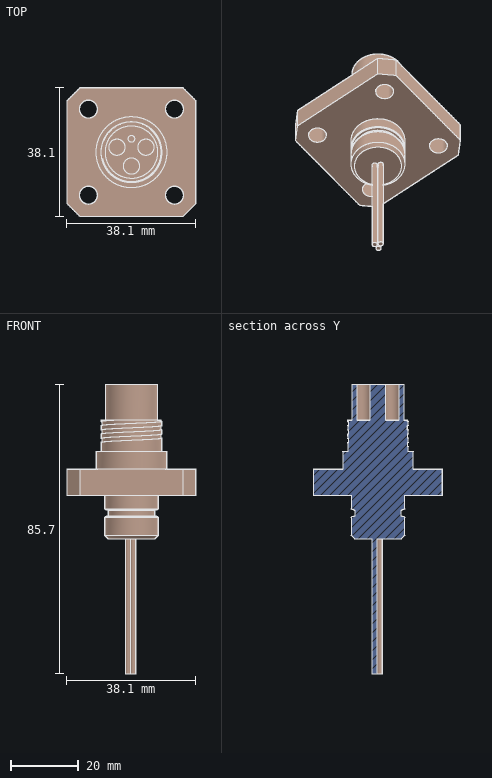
import cadquery as cq
import math

TOTAL_HEIGHT = 85.7
BARREL_BOTTOM = 75.1
THREAD_BOTTOM = 65.8
FLANGE_TOP = 60.6
FLANGE_BOTTOM = 52.8
SEAL_GROOVE_TOP = 48.4
SEAL_GROOVE_BOTTOM = 46.8
BODY_BOTTOM = 39.9

BARREL_DIAMETER = 15.5
THREAD_DIAMETER = 18.0
COLLAR_DIAMETER = 21.0
REAR_DIAMETER = 15.9
SEAL_GROOVE_DIAMETER = 13.9
REAR_CHAMFER = (REAR_DIAMETER - SEAL_GROOVE_DIAMETER) / 2
SEAL_LIP_DIAMETER = 15.5
SEAL_LIP_HEIGHT = 0.21
SEAL_WALL_TAPER = 0.21

FLANGE_SIZE = 38.1
FLANGE_CORNER_CUT = 3.85
MOUNT_HOLE_DIAMETER = 5.2
MOUNT_HOLE_SPACING = 25.45

THREAD_PITCH = 2.5
THREAD_TURNS = 3.2
THREAD_START = 67.9
THREAD_DEPTH = 0.25
THREAD_GROOVE_WIDTH = 1.2

CONTACT_HOLE_DIAMETER = 4.8
CONTACT_SIDE_X = 4.3
CONTACT_SIDE_Y = 1.45
CONTACT_LOWER_Y = -4.1
KEY_HOLE_DIAMETER = 2.0
KEY_HOLE_Y = 3.9
FACE_HOLE_DEPTH = TOTAL_HEIGHT - BARREL_BOTTOM

WIRE_DIAMETER = 1.5
WIRE_COUNT = 3
WIRE_CIRCLE_RADIUS = 1.0
WIRE_EMBED = 0.85


def cylinder(diameter, bottom, top):
    """Solid cylinder on the part axis between two heights."""
    return cq.Workplane("XY").workplane(offset=bottom).circle(diameter / 2).extrude(top - bottom)


def make_flange():
    """Square plate with cut corners and four through holes."""
    return (
        cq.Workplane("XY")
        .workplane(offset=FLANGE_BOTTOM)
        .rect(FLANGE_SIZE, FLANGE_SIZE)
        .extrude(FLANGE_TOP - FLANGE_BOTTOM)
        .edges("|Z")
        .chamfer(FLANGE_CORNER_CUT)
        .faces(">Z")
        .workplane()
        .rect(MOUNT_HOLE_SPACING, MOUNT_HOLE_SPACING, forConstruction=True)
        .vertices()
        .hole(MOUNT_HOLE_DIAMETER)
    )


def make_rear_body():
    """Turned body below the flange with a chamfered end and a seal groove with tapered lips."""
    outer = REAR_DIAMETER / 2
    neck = SEAL_GROOVE_DIAMETER / 2
    lip = SEAL_LIP_DIAMETER / 2
    lower_lip = SEAL_GROOVE_BOTTOM - SEAL_WALL_TAPER
    upper_lip = SEAL_GROOVE_TOP + SEAL_WALL_TAPER
    profile = [
        (0, BODY_BOTTOM),
        (outer - REAR_CHAMFER, BODY_BOTTOM),
        (outer, BODY_BOTTOM + REAR_CHAMFER),
        (outer, lower_lip - SEAL_LIP_HEIGHT),
        (lip, lower_lip),
        (neck, SEAL_GROOVE_BOTTOM),
        (neck, SEAL_GROOVE_TOP),
        (lip, upper_lip),
        (outer, upper_lip + SEAL_LIP_HEIGHT),
        (outer, FLANGE_BOTTOM),
        (0, FLANGE_BOTTOM),
    ]
    return cq.Workplane("XZ").polyline(profile).close().revolve(360, (0, 0), (0, 1))


def make_thread_groove():
    """Rectangular cutter swept along a right-hand helix."""
    outer = THREAD_DIAMETER / 2
    root = outer - THREAD_DEPTH
    beyond = outer + THREAD_DEPTH
    half_width = THREAD_GROOVE_WIDTH / 2
    helix = cq.Wire.makeHelix(THREAD_PITCH, THREAD_PITCH * THREAD_TURNS, root)
    return (
        cq.Workplane("XZ")
        .polyline([(root, -half_width), (beyond, -half_width), (beyond, half_width), (root, half_width)])
        .close()
        .sweep(cq.Workplane(obj=helix), isFrenet=True)
        .translate((0, 0, THREAD_START))
    )


def make_threaded_section():
    """Cylinder around the barrel base with the helical groove cut into it."""
    return cylinder(THREAD_DIAMETER, THREAD_BOTTOM, BARREL_BOTTOM).cut(make_thread_groove())


def make_barrel():
    """Front barrel with three contact holes and a small key hole."""
    contact_points = [
        (-CONTACT_SIDE_X, CONTACT_SIDE_Y),
        (CONTACT_SIDE_X, CONTACT_SIDE_Y),
        (0, CONTACT_LOWER_Y),
    ]
    return (
        cylinder(BARREL_DIAMETER, BARREL_BOTTOM, TOTAL_HEIGHT)
        .faces(">Z")
        .workplane()
        .pushPoints(contact_points)
        .circle(CONTACT_HOLE_DIAMETER / 2)
        .moveTo(0, KEY_HOLE_Y)
        .circle(KEY_HOLE_DIAMETER / 2)
        .cutBlind(-FACE_HOLE_DEPTH)
    )


def make_wire(angle):
    """Round wire that enters the rear body at the given angle around the axis."""
    x = WIRE_CIRCLE_RADIUS * math.cos(angle)
    y = WIRE_CIRCLE_RADIUS * math.sin(angle)
    return cylinder(WIRE_DIAMETER, 0, BODY_BOTTOM + WIRE_EMBED).translate((x, y, 0))


result = (
    make_flange()
    .union(make_rear_body())
    .union(cylinder(COLLAR_DIAMETER, FLANGE_TOP, THREAD_BOTTOM))
    .union(make_threaded_section())
    .union(make_barrel())
)
for wire_index in range(WIRE_COUNT):
    result = result.union(make_wire(math.pi + 2 * math.pi * wire_index / WIRE_COUNT))